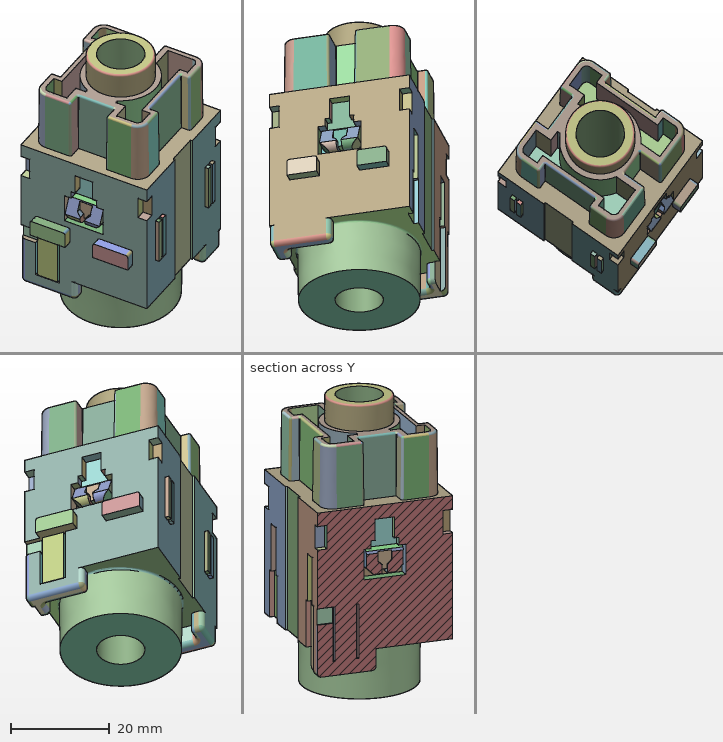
import cadquery as cq

TOTAL_HEIGHT = 61.2
SHELL_TOP = 55.65
BODY_TOP = 42.1
BODY_BOTTOM = 11.3
LUG_BOTTOM = 6.7
BODY_X = 29.5
BODY_Y = 30.0
HALF_X = BODY_X / 2
HALF_Y = BODY_Y / 2
BODY_HEIGHT = BODY_TOP - BODY_BOTTOM

BORE_RADIUS = 4.9
TUBE_RADIUS = 7.05
TUBE_LIP = 0.35
COLLAR_TOP_RADIUS = 12.5
COLLAR_BOTTOM_RADIUS = 12.35
COLLAR_BLEND = 0.35

SHELL_X = 25.5
SHELL_Y = 26.5
SHELL_CORNER = 2.7
SHELL_DRAFT = 0.6
SHELL_RIM = 0.4
NOTCH_EDGE = 0.5
FRONT_NOTCH_HALF, FRONT_NOTCH_FLOOR = 4.05, 10.15
BACK_NOTCH_HALF, BACK_NOTCH_FLOOR = 2.6, 8.15
SIDE_NOTCH_HALF, SIDE_NOTCH_FLOOR = 6.1, 10.65

POCKET_OUTER_X = 11.25
POCKET_WAIST_X = 9.35
POCKET_OUTER_Y = 11.8
POCKET_WAIST_Y = 7.65
POCKET_BACK_X = 4.3
POCKET_FRONT_X = 5.8
POCKET_FRONT_STEP_Y = 8.15
POCKET_WALL_RADIUS = 8.25
POCKET_TIP_X = 3.55
POCKET_CORNER = 1.2

CORNER_NOTCH_SIZE = 2.1
CORNER_NOTCH_TOP = 39.1
CORNER_NOTCH_BOTTOM = 34.15
CENTER_STRIP_WIDTH = 7.0
CENTER_STRIP_DEPTH = 0.4
GROOVE_DEPTH = 1.05
GROOVE_Y = 10.05
GROOVE_WIDTH = 2.7
GROOVE_WIDE_WIDTH = 4.15
GROOVE_TOP = 31.6
TAB_TOP = 25.05
TAB_BOTTOM = 21.4
TAB_REACH = 2.0
TAB_CORNER = 0.5
TAB_X = 7.35
FRONT_TAB_WIDTH = 8.2
BACK_TAB_WIDTH = 6.25
RIB_REACH = 0.8
RIB_GAP = 0.5

LUG_WALL = 3.0
LUG_END_X = 1.85
LUG_END_Y = 8.15
LUG_ROUND = 1.0
LUG_STEP_Z = 18.05
LUG_STEP_DEPTH = 1.0

FINGER_LEFT = -11.3
FINGER_RIGHT = -5.75
FINGER_BOTTOM = 9.8
FINGER_GAP = 0.4
FINGER_GAP_DEPTH = 1.5
FINGER_SETBACK = 0.1

KEY_DEPTH = 1.95
KEY_HALF, KEY_TOP = 2.1, CORNER_NOTCH_TOP
KEY_STEP_HALF, KEY_STEP_TOP = 3.0, 34.6
WINDOW_HALF, WINDOW_TOP, WINDOW_BOTTOM = 4.5, 32.9, 26.5
WINDOW_DEPTH = 2.75

LATCH_HALF = 4.05
LATCH_TIP_HALF = 2.45
LATCH_BOTTOM = 27.3
LATCH_BEND_Z = 28.8
LATCH_PROUD = 0.6
LATCH_SHOULDER_Z = 32.4
LATCH_SHOULDER_DEPTH = 1.05
LATCH_TOP_DEPTH = 1.95
LATCH_TOE_DEPTH = 0.6
EYE_HALF = 1.45
EYE_BEND_Z = 30.05
SLIT_HALF = 0.55
SLIT_TOP = 29.2
EYE_FLOOR_DEPTH = 0.9
EYE_FLOOR_BOTTOM = 28.2

OVERLAP = 0.6


def block(x0, x1, y0, y1, z0, z1):
    """Axis-aligned box between the given limits."""
    return cq.Workplane("XY").box(x1 - x0, y1 - y0, z1 - z0, centered=False).translate((x0, y0, z0))


def make_body():
    """Square body with notched upper corners and a shallow strip down each X side."""
    body = block(-HALF_X, HALF_X, -HALF_Y, HALF_Y, BODY_BOTTOM, BODY_TOP)
    for sx in (-1, 1):
        for sy in (-1, 1):
            notch = cq.Workplane("XY", origin=(sx * HALF_X, sy * HALF_Y, CORNER_NOTCH_BOTTOM))
            notch = notch.rect(2 * CORNER_NOTCH_SIZE, 2 * CORNER_NOTCH_SIZE)
            body = body.cut(notch.extrude(CORNER_NOTCH_TOP - CORNER_NOTCH_BOTTOM))
        strip = cq.Workplane("XY", origin=(sx * HALF_X, 0, BODY_BOTTOM))
        strip = strip.rect(2 * CENTER_STRIP_DEPTH, CENTER_STRIP_WIDTH)
        body = body.cut(strip.extrude(BODY_HEIGHT))
    return body


def make_collar():
    """Tapered round base that flares into the underside of the body."""
    profile = (
        cq.Workplane("XZ")
        .lineTo(COLLAR_BOTTOM_RADIUS, 0)
        .lineTo(COLLAR_TOP_RADIUS, BODY_BOTTOM - COLLAR_BLEND)
        .radiusArc((COLLAR_TOP_RADIUS + COLLAR_BLEND, BODY_BOTTOM), COLLAR_BLEND)
        .lineTo(0, BODY_BOTTOM)
        .close()
    )
    return profile.revolve(360, (0, 0, 0), (0, 1, 0))


def make_lug(top):
    """L-shaped rounded wall that ends below the -X, -Y corner of the body."""
    wall = (
        cq.Workplane("XY", origin=(0, 0, LUG_BOTTOM))
        .polyline([
            (-HALF_X, -HALF_Y),
            (-LUG_END_X, -HALF_Y),
            (-LUG_END_X, -HALF_Y + LUG_WALL),
            (-HALF_X + LUG_WALL, -HALF_Y + LUG_WALL),
            (-HALF_X + LUG_WALL, -LUG_END_Y),
            (-HALF_X, -LUG_END_Y),
        ])
        .close()
        .extrude(top - LUG_BOTTOM)
    )
    return wall.edges("|Z or <Z").fillet(LUG_ROUND)


def shell_notch(direction, half_width, floor):
    """Notch tool that opens along +X and is turned to the given angle."""
    reach = SHELL_Y
    notch = cq.Workplane("XY", origin=(floor + reach / 2, 0, BODY_TOP)).rect(reach, 2 * half_width)
    notch = notch.extrude(SHELL_TOP - BODY_TOP, taper=-SHELL_DRAFT)
    return notch.rotate((0, 0, 0), (0, 0, 1), direction)


def make_shell():
    """Drafted rounded shell, notched on all four sides, with a rounded rim."""
    height = SHELL_TOP - BODY_TOP
    outline = cq.Sketch().rect(SHELL_X, SHELL_Y).vertices().fillet(SHELL_CORNER)
    shell = cq.Workplane("XY", origin=(0, 0, BODY_TOP)).placeSketch(outline)
    shell = shell.extrude(height, taper=SHELL_DRAFT)
    notches = (
        (0, SIDE_NOTCH_HALF, SIDE_NOTCH_FLOOR),
        (90, BACK_NOTCH_HALF, BACK_NOTCH_FLOOR),
        (180, SIDE_NOTCH_HALF, SIDE_NOTCH_FLOOR),
        (270, FRONT_NOTCH_HALF, FRONT_NOTCH_FLOOR),
    )
    for direction, half_width, floor in notches:
        shell = shell.cut(shell_notch(direction, half_width, floor))
    for direction, half_width, floor in notches:
        half_side = (SHELL_X if direction % 180 == 0 else SHELL_Y) / 2
        x0, x1 = half_side - OVERLAP, half_side + OVERLAP
        half_mouth = half_width + OVERLAP
        mouth = block(x0, x1, -half_mouth, half_mouth, BODY_TOP - OVERLAP, SHELL_TOP + OVERLAP)
        mouth = mouth.rotate((0, 0, 0), (0, 0, 1), direction).val().BoundingBox()
        corners = cq.selectors.BoxSelector(
            (mouth.xmin, mouth.ymin, mouth.zmin), (mouth.xmax, mouth.ymax, mouth.zmax), boundingbox=True
        )
        shell = shell.edges(corners).fillet(NOTCH_EDGE)
    return shell.faces(">Z").edges().fillet(SHELL_RIM)


def make_pockets():
    """Pair of mirrored cavities that leave a round wall about the tube."""
    back_y = (POCKET_WALL_RADIUS**2 - POCKET_BACK_X**2) ** 0.5
    tip_y = (POCKET_WALL_RADIUS**2 - POCKET_TIP_X**2) ** 0.5
    pocket = (
        cq.Workplane("XY", origin=(0, 0, BODY_TOP))
        .moveTo(-POCKET_TIP_X, -POCKET_FRONT_STEP_Y)
        .lineTo(-POCKET_FRONT_X, -POCKET_FRONT_STEP_Y)
        .lineTo(-POCKET_FRONT_X, -POCKET_OUTER_Y)
        .lineTo(-POCKET_OUTER_X, -POCKET_OUTER_Y)
        .lineTo(-POCKET_OUTER_X, -POCKET_WAIST_Y)
        .lineTo(-POCKET_WAIST_X, -POCKET_WAIST_Y)
        .lineTo(-POCKET_WAIST_X, POCKET_WAIST_Y)
        .lineTo(-POCKET_OUTER_X, POCKET_WAIST_Y)
        .lineTo(-POCKET_OUTER_X, POCKET_OUTER_Y)
        .lineTo(-POCKET_BACK_X, POCKET_OUTER_Y)
        .lineTo(-POCKET_BACK_X, back_y)
        .threePointArc((-POCKET_WALL_RADIUS, 0), (-POCKET_TIP_X, -tip_y))
        .close()
        .extrude(SHELL_TOP - BODY_TOP)
    )
    for y in (-POCKET_OUTER_Y, POCKET_OUTER_Y):
        corner = cq.selectors.NearestToPointSelector((-POCKET_OUTER_X, y, (BODY_TOP + SHELL_TOP) / 2))
        pocket = pocket.edges("|Z").edges(corner).fillet(POCKET_CORNER)
    return pocket.union(pocket.mirror("YZ"))


def make_tabs(side, width):
    """Two rounded-top tabs on the front (side -1) or back (side 1) face."""
    tabs = cq.Workplane("XY")
    for x in (-TAB_X, TAB_X):
        y0, y1 = sorted((side * (HALF_Y - OVERLAP), side * (HALF_Y + TAB_REACH)))
        tab = block(x - width / 2, x + width / 2, y0, y1, TAB_BOTTOM, TAB_TOP)
        tabs = tabs.union(tab.edges("|Y and >Z").fillet(TAB_CORNER))
    return tabs


def make_ribs():
    """Split guide ribs on the +X face, matching the grooves on the -X face."""
    ribs = cq.Workplane("XY")
    rib_width = (GROOVE_WIDTH - RIB_GAP) / 2
    for y in (-GROOVE_Y, GROOVE_Y):
        for y0 in (y - GROOVE_WIDTH / 2, y + RIB_GAP / 2):
            rib = block(HALF_X - OVERLAP, HALF_X + RIB_REACH, y0, y0 + rib_width, TAB_BOTTOM, GROOVE_TOP)
            ribs = ribs.union(rib)
    return ribs


def make_grooves():
    """Stepped grooves down the -X face, running out through the lug."""
    grooves = cq.Workplane("XY")
    floor = -HALF_X + GROOVE_DEPTH
    for y in (-GROOVE_Y, GROOVE_Y):
        for width, z0, z1 in ((GROOVE_WIDTH, TAB_BOTTOM, GROOVE_TOP), (GROOVE_WIDE_WIDTH, 0, TAB_BOTTOM)):
            grooves = grooves.union(block(-HALF_X - OVERLAP, floor, y - width / 2, y + width / 2, z0, z1))
    return grooves


def make_finger_cut():
    """Gaps each side of the spring finger, its setback and the corner step beside it."""
    outside = -HALF_Y - OVERLAP
    gap_floor = -HALF_Y + FINGER_GAP_DEPTH
    face = -HALF_Y + FINGER_SETBACK
    cut = block(FINGER_LEFT, FINGER_RIGHT, outside, face, FINGER_BOTTOM, TAB_BOTTOM)
    for x in (FINGER_LEFT, FINGER_RIGHT - FINGER_GAP):
        cut = cut.union(block(x, x + FINGER_GAP, outside, gap_floor, FINGER_BOTTOM, TAB_BOTTOM))
    step = block(-HALF_X - OVERLAP, FINGER_LEFT, outside, -HALF_Y + LUG_STEP_DEPTH, LUG_STEP_Z, TAB_BOTTOM)
    return cut.union(step)


def make_latch_recess():
    """Keyhole and window cut into the front face."""
    outside = -HALF_Y - OVERLAP
    key_floor = -HALF_Y + KEY_DEPTH
    recess = block(-KEY_HALF, KEY_HALF, outside, key_floor, WINDOW_TOP, KEY_TOP)
    recess = recess.union(block(-KEY_STEP_HALF, KEY_STEP_HALF, outside, key_floor, WINDOW_TOP, KEY_STEP_TOP))
    window_floor = -HALF_Y + WINDOW_DEPTH
    return recess.union(block(-WINDOW_HALF, WINDOW_HALF, outside, window_floor, WINDOW_BOTTOM, WINDOW_TOP))


def make_latch():
    """Sloped latch with a rounded toe, chamfered lower corners and a shallow keyhole slit."""
    root = -HALF_Y + WINDOW_DEPTH + OVERLAP
    nose = -HALF_Y - LATCH_PROUD
    toe = -HALF_Y + LATCH_TOE_DEPTH
    profile = (
        cq.Workplane("YZ", origin=(-LATCH_HALF, 0, 0))
        .moveTo(root, WINDOW_TOP)
        .lineTo(-HALF_Y + LATCH_TOP_DEPTH, WINDOW_TOP)
        .lineTo(-HALF_Y + LATCH_SHOULDER_DEPTH, LATCH_SHOULDER_Z)
        .lineTo(nose, LATCH_BEND_Z)
        .radiusArc((toe, LATCH_BOTTOM), -(LATCH_BEND_Z - LATCH_BOTTOM))
        .lineTo(root, LATCH_BOTTOM)
        .close()
        .extrude(2 * LATCH_HALF)
    )
    half_outline = [
        (EYE_HALF, WINDOW_TOP),
        (LATCH_HALF, WINDOW_TOP),
        (LATCH_HALF, LATCH_BEND_Z),
        (LATCH_TIP_HALF, LATCH_BOTTOM),
        (SLIT_HALF, LATCH_BOTTOM),
        (SLIT_HALF, SLIT_TOP),
        (EYE_HALF, EYE_BEND_Z),
    ]
    cheek = cq.Workplane("XZ").polyline(half_outline).close().extrude(2 * HALF_Y)
    cheeks = cheek.union(cheek.mirror("YZ"))
    half_floor = EYE_HALF + OVERLAP
    floor_y = -HALF_Y + EYE_FLOOR_DEPTH
    eye_floor = block(-half_floor, half_floor, floor_y, root, EYE_FLOOR_BOTTOM, WINDOW_TOP)
    return profile.intersect(cheeks.union(eye_floor))


half_wall = LUG_WALL / 2
corner_space = block(-HALF_X, -HALF_X + half_wall, -HALF_Y, -HALF_Y + half_wall, BODY_BOTTOM, LUG_STEP_Z)
grooves = make_grooves()
result = make_body().cut(corner_space).cut(grooves)
result = result.union(make_lug(LUG_STEP_Z).cut(grooves))
result = result.union(make_lug(BODY_BOTTOM).rotate((0, 0, 0), (0, 0, 1), 180))
result = result.cut(make_finger_cut())

result = result.union(make_collar())
result = result.union(make_shell()).cut(make_pockets())
tube = cq.Workplane("XY", origin=(0, 0, BODY_TOP)).circle(TUBE_RADIUS).extrude(TOTAL_HEIGHT - BODY_TOP)
result = result.union(tube.faces(">Z").edges().fillet(TUBE_LIP))

result = result.union(make_ribs())
result = result.union(make_tabs(-1, FRONT_TAB_WIDTH)).union(make_tabs(1, BACK_TAB_WIDTH))

latch_recess = make_latch_recess()
latch = make_latch()
result = result.cut(latch_recess).cut(latch_recess.mirror("XZ"))
result = result.union(latch).union(latch.mirror("XZ"))

result = result.cut(cq.Workplane("XY").circle(BORE_RADIUS).extrude(TOTAL_HEIGHT))